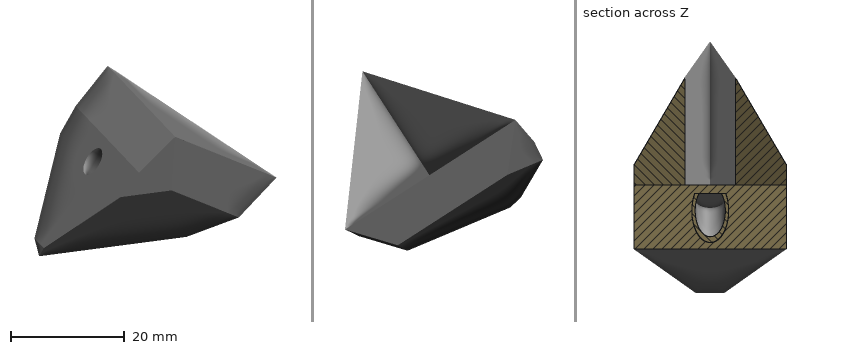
import cadquery as cq
import math


ROOT2 = math.sqrt(2)

overall_length = 44.2
front_depth = 19.05
corner_tip_length = 8.4
sleeve_outer_diameter = 6.35
sleeve_bore_diameter = 5.2
sleeve_depth = 7.95
sleeve_height = 7.6

inner_edge = overall_length - front_depth
wall = front_depth / 3
outer_edge = inner_edge - ROOT2 * wall
top_height = inner_edge / ROOT2
bottom_height = -ROOT2 * wall
slope_start_height = top_height - wall
slope_end_height = slope_start_height - ROOT2 * (front_depth - wall)


def corner_point(left, right, along):
    """Point given by its distances along the left, right and +Y inner edges."""
    return cq.Vector((right - left) / ROOT2, along, (left + right) / ROOT2)


def polygon_face(points):
    return cq.Face.makeFromWires(cq.Wire.makePolygon(points, close=True))


def slab(inner_points, outer_points):
    """Solid between two parallel outlines whose matching corners are joined."""
    count = len(inner_points)
    faces = [polygon_face(inner_points), polygon_face(outer_points)]
    for i in range(count):
        j = (i + 1) % count
        faces.append(polygon_face([inner_points[i], inner_points[j], outer_points[j], outer_points[i]]))
    return cq.Workplane(cq.Solid.makeSolid(cq.Shell.makeShell(faces)).fix())


def make_left_wall():
    """Triangular wall with a bevelled long side, ending at the right wall."""
    inner = [corner_point(0, 0, 0), corner_point(inner_edge, 0, 0), corner_point(0, 0, inner_edge)]
    outer = [
        corner_point(0, -wall, 0),
        corner_point(outer_edge, -wall, 0),
        corner_point(0, -wall, outer_edge),
    ]
    return slab(inner, outer)


def make_right_wall():
    """Bevelled wall that also fills the corner below the left wall."""
    corner_face_length = corner_tip_length + ROOT2 * wall
    bevel_overrun = (corner_face_length - outer_edge) / (1 + ROOT2)

    inner = [
        corner_point(0, -wall, 0),
        corner_point(0, inner_edge, 0),
        corner_point(0, 0, inner_edge),
        corner_point(0, -wall, outer_edge),
    ]
    outer = [
        corner_point(-wall, -wall, 0),
        corner_point(-wall, outer_edge, 0),
        corner_point(-wall, -bevel_overrun, outer_edge + bevel_overrun),
        corner_point(-wall, -wall, corner_tip_length),
    ]
    return slab(inner, outer)


slope_drop = slope_start_height - sleeve_height
sleeve_mouth = cq.Plane(
    origin=(0, -wall - slope_drop / ROOT2, sleeve_height),
    xDir=(1, 0, 0),
    normal=(0, -ROOT2, 1),
)


def make_front_block():
    """V-shaped block with a top bevel, a sloping face and a blind sleeve hole."""
    left_top = corner_point(inner_edge, 0, 0)
    left_side = corner_point(outer_edge, -wall, 0)
    front_outline = [
        (0, bottom_height),
        (-left_side.x, left_side.z),
        (-left_top.x, left_top.z),
        (left_top.x, left_top.z),
        (left_side.x, left_side.z),
    ]
    side_outline = [
        (0, bottom_height),
        (0, top_height),
        (-wall, slope_start_height),
        (-front_depth, slope_end_height),
        (-front_depth, bottom_height),
    ]
    block = cq.Workplane("XZ").polyline(front_outline).close().extrude(front_depth)
    side_profile = cq.Workplane("YZ").polyline(side_outline).close().extrude(top_height, both=True)
    sleeve_hole = cq.Workplane(sleeve_mouth).circle(sleeve_outer_diameter / 2).extrude(-sleeve_depth)
    return block.intersect(side_profile).cut(sleeve_hole)


def make_sleeve():
    """Plain sleeve, flush with the sloping face."""
    rings = cq.Workplane(sleeve_mouth).circle(sleeve_outer_diameter / 2).circle(sleeve_bore_diameter / 2)
    return rings.extrude(-sleeve_depth)


front_block = make_front_block()
left_wall = make_left_wall()
right_wall = make_right_wall()
sleeve = make_sleeve()

result = cq.Compound.makeCompound(
    [front_block.val(), left_wall.val(), right_wall.val(), sleeve.val()]
)